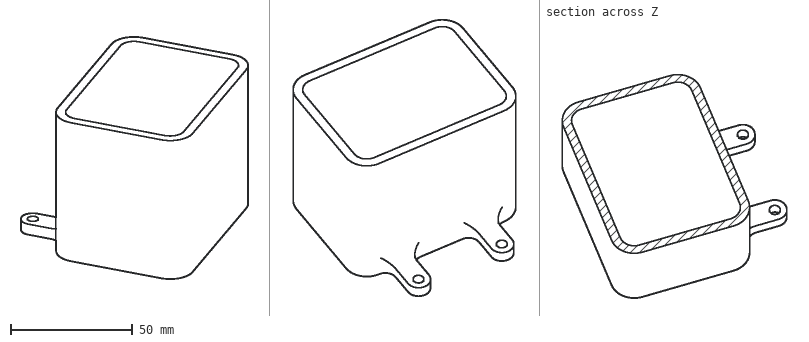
import cadquery as cq
import math

box_length = 60.0
box_width = 80.0
box_height = 65.0
corner_radius = 10.0
wall = 4.0
floor_thickness = 4.0
floor_fillet = 4.0

tab_width = 10.0
tab_reach = 20.0
tab_spacing = 40.0
hole_diameter = 4.5
tab_end_radius = tab_width / 2
tab_thickness = tab_width / 2
root_radius = tab_width / 2

root_start = -root_radius
tab_end_center = tab_end_radius - tab_reach
embed = wall / 2
arc_mid = root_radius * (1 - math.sqrt(0.5))


def rounded_block(length, width, height, radius):
    return cq.Workplane("XY").rect(length, width).extrude(height).edges("|Z").fillet(radius)


def make_box():
    outer = rounded_block(box_length, box_width, box_height, corner_radius)
    cavity = rounded_block(
        box_length - 2 * wall,
        box_width - 2 * wall,
        box_height - floor_thickness,
        corner_radius - wall,
    )
    cavity = cavity.faces("<Z").edges().fillet(floor_fillet)
    shell = outer.cut(cavity.translate((0, 0, floor_thickness)))
    return shell.translate((box_length / 2, 0, 0))


def make_tab(center_y):
    """Round-ended tab whose root flares sideways and upward, the flares meeting in mitres."""
    half = tab_width / 2
    flared_half = half + root_radius
    flared_height = tab_thickness + root_radius
    plan = (
        cq.Workplane("XY")
        .moveTo(embed, flared_half)
        .lineTo(0, flared_half)
        .threePointArc((-arc_mid, half + arc_mid), (root_start, half))
        .lineTo(tab_end_center, half)
        .threePointArc((-tab_reach, 0), (tab_end_center, -half))
        .lineTo(root_start, -half)
        .threePointArc((-arc_mid, -half - arc_mid), (0, -flared_half))
        .lineTo(embed, -flared_half)
        .close()
        .extrude(flared_height)
    )
    side = (
        cq.Workplane("XZ")
        .moveTo(embed, 0)
        .lineTo(-tab_reach, 0)
        .lineTo(-tab_reach, tab_thickness)
        .lineTo(root_start, tab_thickness)
        .threePointArc((-arc_mid, tab_thickness + arc_mid), (0, flared_height))
        .lineTo(embed, flared_height)
        .close()
        .extrude(flared_half, both=True)
    )
    hole = (
        cq.Workplane("XY")
        .center(tab_end_center, 0)
        .circle(hole_diameter / 2)
        .extrude(tab_thickness)
    )
    return plan.intersect(side).cut(hole).translate((0, center_y, 0))


result = make_box()
for side_sign in (-1, 1):
    result = result.union(make_tab(side_sign * tab_spacing / 2))